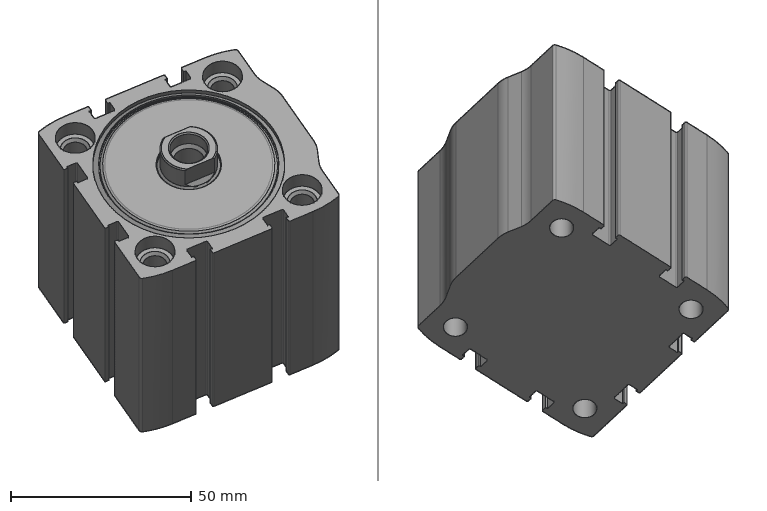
import cadquery as cq
import math

overall_height = 74.0
body_width = 63.0
overall_depth = 66.0
rod_protrusion = 7.0
body_height = overall_height - rod_protrusion
half_width = body_width / 2
bulge_y = overall_depth - half_width

side_flat_half = 22.2
side_curve_radius = 28.1
corner_radius = 0.9
bulge_crest_half = 10.95
bulge_foot_half = 18.1
bulge_radius = 8.9

slot_offset = 12.0
slot_width = 6.5
slot_corner_radius = 0.4
front_slot_depth = 4.45
front_neck_width = 5.3
front_neck_depth = 1.25
front_lip_radius = 0.2
side_slot_depth = 4.7
side_neck_width = 5.2
side_neck_depth = 1.6
side_lip_radius = 0.4

mount_offset = 23.2
mount_diameter = 6.65
mount_bevel_diameter = 8.35
mount_counterbore_diameter = 11.0
mount_counterbore_depth = 5.0

cap_recess = 0.2
bore_diameter = 53.3
bore_groove_depth = 1.3
cap_rim_diameter = 50.0
cap_edge_diameter = 49.3
cap_shoulder_diameter = 47.8
cap_face_diameter = 46.6
cap_valley_depth = 0.9
cap_shoulder_depth = 0.4

wiper_diameter = 17.7
wiper_mouth_diameter = 18.1

rod_diameter = 16.0
rod_chamfer = 0.4
rod_depth = 33.3
flat_width = 13.0
flat_height = 0.7
rod_mouth_diameter = 11.3
rod_counterbore_diameter = 10.5
rod_counterbore_depth = 4.5
rod_hole_diameter = 8.6
rod_hole_depth = 14.8
drill_half_angle = 59.0

match_tolerance = 0.01

rod_radius = rod_diameter / 2
wiper_radius = wiper_diameter / 2
wiper_mouth_radius = wiper_mouth_diameter / 2
wiper_depth = cap_recess + wiper_radius - rod_radius


def revolve_profile(points):
    """Turn a closed profile of (radius, z) points about the Z axis."""
    return cq.Workplane("XZ").polyline(points).close().revolve(360, (0, 0, 0), (0, 1, 0))


def side_curve_x(y):
    """X of the curved part of the right side at a distance y from the middle."""
    rise = y - side_flat_half
    return half_width - side_curve_radius + math.sqrt(side_curve_radius**2 - rise**2)


def make_profile():
    mid_y = (side_flat_half + half_width) / 2
    corner_x = side_curve_x(half_width)
    mid_x = side_curve_x(mid_y)
    blank = (
        cq.Workplane("XY")
        .moveTo(-corner_x, -half_width)
        .lineTo(corner_x, -half_width)
        .threePointArc((mid_x, -mid_y), (half_width, -side_flat_half))
        .lineTo(half_width, side_flat_half)
        .threePointArc((mid_x, mid_y), (corner_x, half_width))
        .lineTo(bulge_foot_half, half_width)
        .lineTo(bulge_crest_half, bulge_y)
        .lineTo(-bulge_crest_half, bulge_y)
        .lineTo(-bulge_foot_half, half_width)
        .lineTo(-corner_x, half_width)
        .threePointArc((-mid_x, mid_y), (-half_width, side_flat_half))
        .lineTo(-half_width, -side_flat_half)
        .threePointArc((-mid_x, -mid_y), (-corner_x, -half_width))
        .close()
        .extrude(body_height)
    )

    def vertical_edges(x, y):
        edges = blank.edges("|Z").vals()
        return [e for e in edges
                if math.hypot(abs(e.Center().x) - x, e.Center().y - y) < match_tolerance]

    corners = vertical_edges(corner_x, half_width) + vertical_edges(corner_x, -half_width)
    bends = vertical_edges(bulge_foot_half, half_width) + vertical_edges(bulge_crest_half, bulge_y)
    blank = blank.newObject(corners).fillet(corner_radius)
    return blank.newObject(bends).fillet(bulge_radius)


def make_slot(depth, neck_width, neck_depth, lip_radius):
    """T-slot cutter that opens towards -Y on the front face, centred on X = 0."""
    mouth_y = -half_width
    pocket_depth = depth - neck_depth
    pocket = (
        cq.Workplane("XY")
        .center(0, mouth_y + neck_depth + pocket_depth / 2)
        .rect(slot_width, pocket_depth)
        .extrude(body_height)
        .edges("|Z and >Y").fillet(slot_corner_radius)
    )
    neck = (
        cq.Workplane("XY")
        .center(0, mouth_y + neck_depth / 2)
        .rect(neck_width, neck_depth)
        .extrude(body_height)
    )
    slot = pocket.union(neck)
    for side in (-1, 1):
        edge_x = side * neck_width / 2
        flare = (
            cq.Workplane("XY")
            .moveTo(edge_x, mouth_y)
            .lineTo(edge_x + side * lip_radius, mouth_y)
            .radiusArc((edge_x, mouth_y + lip_radius), side * lip_radius)
            .close()
            .extrude(body_height)
        )
        slot = slot.union(flare)
    return slot


def cut_slots(body):
    front_slot = make_slot(front_slot_depth, front_neck_width, front_neck_depth, front_lip_radius)
    side_slot = make_slot(side_slot_depth, side_neck_width, side_neck_depth, side_lip_radius)
    for offset in (-slot_offset, slot_offset):
        body = body.cut(front_slot.translate((offset, 0, 0)))
        for angle in (-90, 90):
            turned = side_slot.rotate((0, 0, 0), (0, 0, 1), angle)
            body = body.cut(turned.translate((0, offset, 0)))
    return body


def cut_mounting_holes(body):
    floor_z = body_height - mount_counterbore_depth
    hole_radius = mount_diameter / 2
    bevel_radius = mount_bevel_diameter / 2
    counterbore_radius = mount_counterbore_diameter / 2
    hole = revolve_profile([
        (0, 0),
        (hole_radius, 0),
        (hole_radius, floor_z - (bevel_radius - hole_radius)),
        (bevel_radius, floor_z),
        (counterbore_radius, floor_z),
        (counterbore_radius, body_height),
        (0, body_height),
    ])
    for x in (-mount_offset, mount_offset):
        for y in (-mount_offset, mount_offset):
            body = body.cut(hole.translate((x, y, 0)))
    return body


def cut_cap_recess(body):
    """Sink the cap face below the body top, with grooves round its edge and round the rod."""
    top = body_height
    face_z = top - cap_recess
    recess = revolve_profile([
        (0, top),
        (0, face_z),
        (rod_radius, face_z),
        (wiper_radius, top - wiper_depth),
        (wiper_radius, face_z - (wiper_mouth_radius - wiper_radius)),
        (wiper_mouth_radius, face_z),
        (cap_face_diameter / 2, face_z),
        (cap_shoulder_diameter / 2, top - cap_shoulder_depth),
        (cap_edge_diameter / 2, top - cap_valley_depth),
        (cap_rim_diameter / 2, top - cap_valley_depth),
        (cap_rim_diameter / 2, face_z),
        (bore_diameter / 2, top - bore_groove_depth),
        (bore_diameter / 2, top),
    ])
    return body.cut(recess)


def make_housing():
    body = cut_slots(make_profile())
    body = cut_mounting_holes(body)
    body = cut_cap_recess(body)
    rod_bore = (
        cq.Workplane("XY", origin=(0, 0, body_height - rod_depth))
        .circle(rod_radius)
        .extrude(rod_depth)
    )
    return body.cut(rod_bore)


def make_rod():
    length = rod_depth + rod_protrusion
    rod = (
        cq.Workplane("XY", origin=(0, 0, body_height - rod_depth))
        .circle(rod_radius)
        .extrude(length)
        .faces(">Z").edges().chamfer(rod_chamfer)
    )
    flat_x = flat_width / 2
    flat_z = body_height + flat_height
    run_out = rod_radius - flat_x
    for side in (-1, 1):
        flat = (
            cq.Workplane("XZ")
            .polyline([
                (side * flat_x, overall_height),
                (side * flat_x, flat_z),
                (side * rod_radius, flat_z - run_out),
                (side * rod_radius, overall_height),
            ])
            .close()
            .extrude(rod_radius, both=True)
        )
        rod = rod.cut(flat)
    return rod.cut(make_rod_hole())


def make_rod_hole():
    """Stepped blind hole in the end of the rod, ending in a drill point."""
    mouth_radius = rod_mouth_diameter / 2
    counterbore_radius = rod_counterbore_diameter / 2
    hole_radius = rod_hole_diameter / 2
    counterbore_z = overall_height - rod_counterbore_depth
    hole_z = overall_height - rod_hole_depth
    point_depth = hole_radius / math.tan(math.radians(drill_half_angle))
    return revolve_profile([
        (0, overall_height),
        (mouth_radius, overall_height),
        (counterbore_radius, overall_height - (mouth_radius - counterbore_radius)),
        (counterbore_radius, counterbore_z),
        (hole_radius, counterbore_z - (counterbore_radius - hole_radius)),
        (hole_radius, hole_z),
        (0, hole_z - point_depth),
    ])


housing = make_housing()
rod = make_rod()

result = cq.Compound.makeCompound([housing.val(), rod.val()])